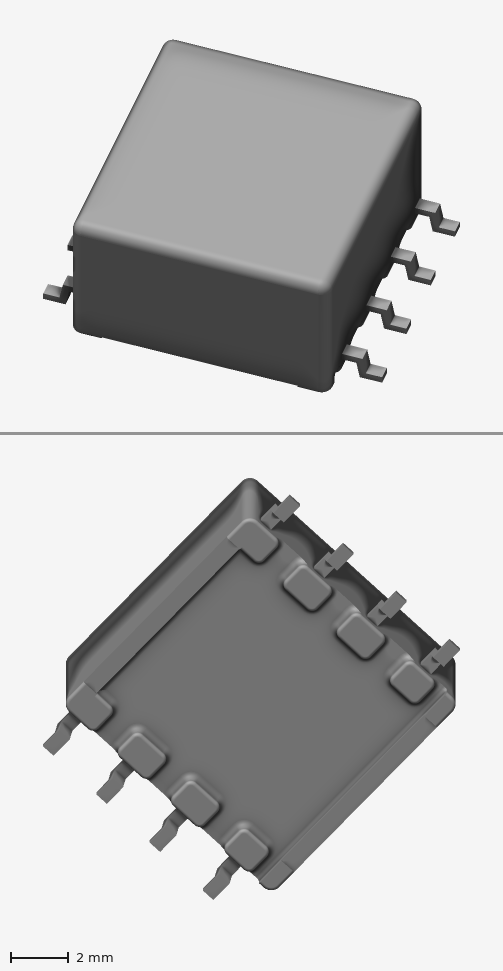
import cadquery as cq

overall_x = 12.46
body_x = 9.52
body_y = 10.05
overall_z = 5.4
standoff = 0.17
body_z = overall_z - standoff
corner_radius = 0.4
base_radius = 0.12

lead_count = 4
lead_pitch = 2.54
first_lead_y = 4.25
lead_width = 0.5
lead_thickness = 0.26
lead_top = 0.92
foot_length = 0.6
riser_run = 0.12
riser_thickness = 0.22

recess_height = 0.47
post_root_fillet = 0.22
end_wall_fillet = 0.14
end_wall = 0.62
rail_width = 1.15
end_wall_rise = 0.12
post_width = 1.53
post_trim = 0.19
post_corner_radius = 0.26
overlap = 0.5

lead_ys = [first_lead_y - i * lead_pitch for i in range(lead_count)]


def make_block():
    block = cq.Workplane("XY").box(body_x, body_y, body_z, centered=(True, True, False))
    block = block.edges("|Z").fillet(corner_radius)
    block = block.faces(">Z").edges().fillet(corner_radius)
    block = block.faces("<Z").edges().fillet(base_radius)
    return block.translate((0, 0, standoff))


def make_post(side, lead_y, trim):
    """Rounded post flush with one side of the body; side is -1 or +1."""
    center_x = side * (body_x - rail_width) / 2
    center_y = lead_y + trim / 2
    post = cq.Workplane("XY").box(
        rail_width, post_width - trim, recess_height + overlap, centered=(True, True, False)
    )
    post = post.edges("|Z").fillet(post_corner_radius)
    post = post.faces("<Z").edges().fillet(base_radius)
    return post.translate((center_x, center_y, standoff))


def make_recess():
    """Space under the body: open at both X sides, flowing round the posts."""
    recess = cq.Workplane("XY").box(
        body_x + 2 * overlap,
        body_y - 2 * end_wall,
        recess_height + overlap,
        centered=(True, True, False),
    )
    recess = recess.translate((0, 0, standoff - overlap))
    recess = recess.faces("<Y").edges(">Z").fillet(end_wall_fillet)
    for side in (-1, 1):
        for lead_y in lead_ys:
            trim = post_trim if lead_y == lead_ys[-1] else 0
            recess = recess.cut(make_post(side, lead_y, trim))
    return recess.faces(">Z").edges("not (<X or >X or <Y)").fillet(post_root_fillet)


def make_end_wall_relief():
    relief = cq.Workplane("XY").box(
        body_x - 2 * rail_width, body_y, end_wall_rise, centered=(True, True, False)
    )
    return relief.translate((0, 0, standoff))


def make_lead(lead_y):
    """Gull-wing lead on the -X side."""
    tip = -overall_x / 2
    foot_end = tip + foot_length
    shoulder = foot_end + riser_run
    root = -body_x / 2
    profile = [
        (tip, 0),
        (foot_end + riser_thickness, 0),
        (shoulder + riser_thickness, lead_top - lead_thickness),
        (root, lead_top - lead_thickness),
        (root, lead_top),
        (shoulder, lead_top),
        (foot_end, lead_thickness),
        (tip, lead_thickness),
    ]
    lead = cq.Workplane("XZ").polyline(profile).close().extrude(lead_width / 2, both=True)
    return lead.translate((0, lead_y, 0))


result = make_block().cut(make_recess()).cut(make_end_wall_relief())
for y in lead_ys:
    left_lead = make_lead(y)
    result = result.union(left_lead).union(left_lead.mirror("YZ"))